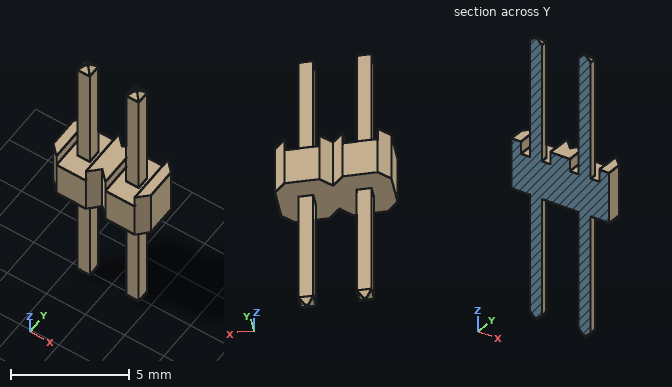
import cadquery as cq

pin_count = 2
pitch = 2.5
cell_width = 2.5
body_height = 2.5
corner_chamfer = 0.5
channel_width = 1.5
channel_depth = 0.6

pin_size = 0.64
pin_length = 13.9
pin_below_body = 6.0
tip_chamfer = 0.25

pin_positions = [(i - (pin_count - 1) / 2) * pitch for i in range(pin_count)]


def make_cell(x):
    """Body cell with chamfered vertical corners and a channel along Y in its top."""
    cell = (
        cq.Workplane("XY")
        .box(pitch, cell_width, body_height, centered=(True, True, False))
        .edges("|Z")
        .chamfer(corner_chamfer)
    )
    channel = (
        cq.Workplane("XY")
        .workplane(offset=body_height - channel_depth)
        .rect(channel_width, cell_width)
        .extrude(channel_depth)
    )
    return cell.cut(channel).translate((x, 0, 0))


def make_pin(x):
    """Square pin with a tapered tip at both ends."""
    pin = (
        cq.Workplane("XY")
        .box(pin_size, pin_size, pin_length, centered=(True, True, False))
        .faces("<Z")
        .chamfer(tip_chamfer)
        .faces(">Z")
        .chamfer(tip_chamfer)
    )
    return pin.translate((x, 0, -pin_below_body))


result = cq.Workplane("XY")
for pin_x in pin_positions:
    result = result.union(make_cell(pin_x)).union(make_pin(pin_x))